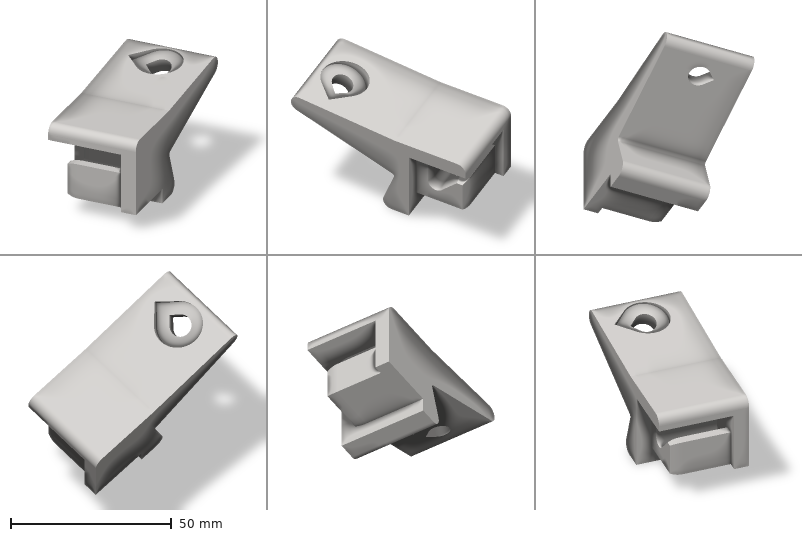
import cadquery as cq
import math

length = 61.75
width = 30.0
height = 33.15
roof_top = 30.0
wall = 5.0
edge_radius = 3.0
tip_radius = 2.9
back_face_y = 20.0
bend_y = 25.0
underside_z = 15.2
corner_fillet = 1.0
foot_back_y = 29.15

hook_front_y = 3.0
hook_top_z = 16.9
hook_top_depth = 3.0
slot_back_y = 15.1
slot_radius = 2.0
slot_bend_z = 19.4

lip_depth = 0.75
lip_arc_length = 3.5
lip_arc_depth = 0.585
lip_length = 3.9
clearance = 0.3

hole_y = 53.2
hole_radius = 3.5
recess_radius = 7.55
hole_floor = 5.0

roof_bottom = roof_top - wall
root_depth = wall / 2
buried_y = back_face_y + root_depth
buried_z = roof_bottom + root_depth
half_root = math.sqrt(0.5)


def tangent_point(point, center, radius, side):
    """Touching point of a line from point to a circle; side +1 or -1 picks the line."""
    dy = point[0] - center[0]
    dz = point[1] - center[1]
    angle = math.atan2(dz, dy) + side * math.acos(radius / math.hypot(dy, dz))
    return center[0] + radius * math.cos(angle), center[1] + radius * math.sin(angle)


tip_center = (length - tip_radius, height - tip_radius)
foot_center = (foot_back_y - edge_radius, edge_radius)
bend = (bend_y, roof_top)
corner = (bend_y, underside_z)
tip_lower = tangent_point(corner, tip_center, tip_radius, 1)


def make_body():
    """Side profile of roof, lever and foot, extruded over the full width."""
    nose_mid = edge_radius * (1 - half_root)
    foot_mid = (foot_center[0] + edge_radius * half_root, edge_radius * (1 - half_root))
    body = (
        cq.Workplane("YZ")
        .moveTo(back_face_y, 0)
        .lineTo(back_face_y, roof_bottom)
        .lineTo(0, roof_bottom)
        .lineTo(0, roof_top - edge_radius)
        .threePointArc((nose_mid, roof_top - nose_mid), (edge_radius, roof_top))
        .lineTo(*bend)
        .lineTo(*tangent_point(bend, tip_center, tip_radius, -1))
        .threePointArc((length, tip_center[1]), tip_lower)
        .lineTo(*corner)
        .lineTo(*tangent_point(corner, foot_center, edge_radius, -1))
        .threePointArc(foot_mid, (foot_center[0], 0))
        .close()
        .extrude(width)
    )
    at_corner = cq.selectors.BoxSelector(
        (-clearance, corner[0] - clearance, corner[1] - clearance),
        (width + clearance, corner[0] + clearance, corner[1] + clearance),
    )
    return body.edges("|X").edges(at_corner).fillet(corner_fillet)


def trace_hook():
    """Free edge of the hook, from inside the rear wall round the slot into the roof."""
    slot_center_y = slot_back_y - slot_radius
    diagonal_sum = hook_front_y + hook_top_depth + hook_top_z
    slot_center_z = diagonal_sum + slot_radius / half_root - slot_center_y
    arc_mid_angle = math.radians(-67.5)
    return (
        cq.Workplane("YZ", origin=(wall, 0, 0))
        .moveTo(buried_y, wall)
        .lineTo(hook_front_y, wall)
        .lineTo(hook_front_y, hook_top_z)
        .lineTo(hook_front_y + hook_top_depth, hook_top_z)
        .lineTo(slot_center_y - slot_radius * half_root, slot_center_z - slot_radius * half_root)
        .threePointArc(
            (
                slot_center_y + slot_radius * math.cos(arc_mid_angle),
                slot_center_z + slot_radius * math.sin(arc_mid_angle),
            ),
            (slot_back_y, slot_center_z),
        )
        .lineTo(slot_back_y, slot_bend_z)
        .lineTo(slot_back_y - (buried_z - slot_bend_z), buried_z)
    )


def make_hook():
    """Hook from its free end to the side wall, with its end eased all along the edge."""
    hook = (
        trace_hook()
        .lineTo(buried_y, buried_z)
        .close()
        .extrude(width - wall - root_depth)
    )
    arc_radius = (lip_arc_length**2 + lip_arc_depth**2) / (2 * lip_arc_depth)
    arc_mid_x = lip_arc_length / 2
    arc_mid_depth = arc_radius - math.sqrt(arc_radius**2 - arc_mid_x**2)
    lip = (
        cq.Workplane("XZ", origin=(wall + lip_length, buried_y, wall))
        .moveTo(0, -clearance)
        .lineTo(0, 0)
        .threePointArc((-arc_mid_x, arc_mid_depth), (-lip_arc_length, lip_arc_depth))
        .lineTo(-lip_length, lip_depth)
        .lineTo(-lip_length - clearance, lip_depth)
        .lineTo(-lip_length - clearance, -clearance)
        .close()
        .sweep(trace_hook().wire(), transition="right")
    )
    return hook.cut(lip)


def make_side_wall():
    return cq.Workplane("XY").box(
        wall, back_face_y, roof_bottom - wall, centered=False
    ).translate((width - wall, 0, wall))


def make_teardrop(plane, radius, depth, both_ways=False):
    """Round cutter with a square point toward -X."""
    touch = radius * half_root
    return (
        cq.Workplane(plane)
        .moveTo(-touch, -touch)
        .threePointArc((radius, 0), (-touch, touch))
        .lineTo(-radius / half_root, 0)
        .close()
        .extrude(depth, both=both_ways)
    )


def make_lever_hole():
    """Stepped teardrop hole square to the sloping underside of the lever."""
    rise = (tip_lower[1] - corner[1]) / (tip_lower[0] - corner[0])
    hole_z = corner[1] + rise * (hole_y - corner[0])
    underside = cq.Plane(origin=(width / 2, hole_y, hole_z), xDir=(1, 0, 0), normal=(0, -rise, 1))
    hole = make_teardrop(underside, hole_radius, height, both_ways=True)
    recess_plane = cq.Plane(
        origin=underside.toWorldCoords((0, 0, hole_floor)).toTuple(),
        xDir=(1, 0, 0),
        normal=(0, -rise, 1),
    )
    return hole.union(make_teardrop(recess_plane, recess_radius, height))


result = make_body().union(make_side_wall()).union(make_hook()).cut(make_lever_hole())